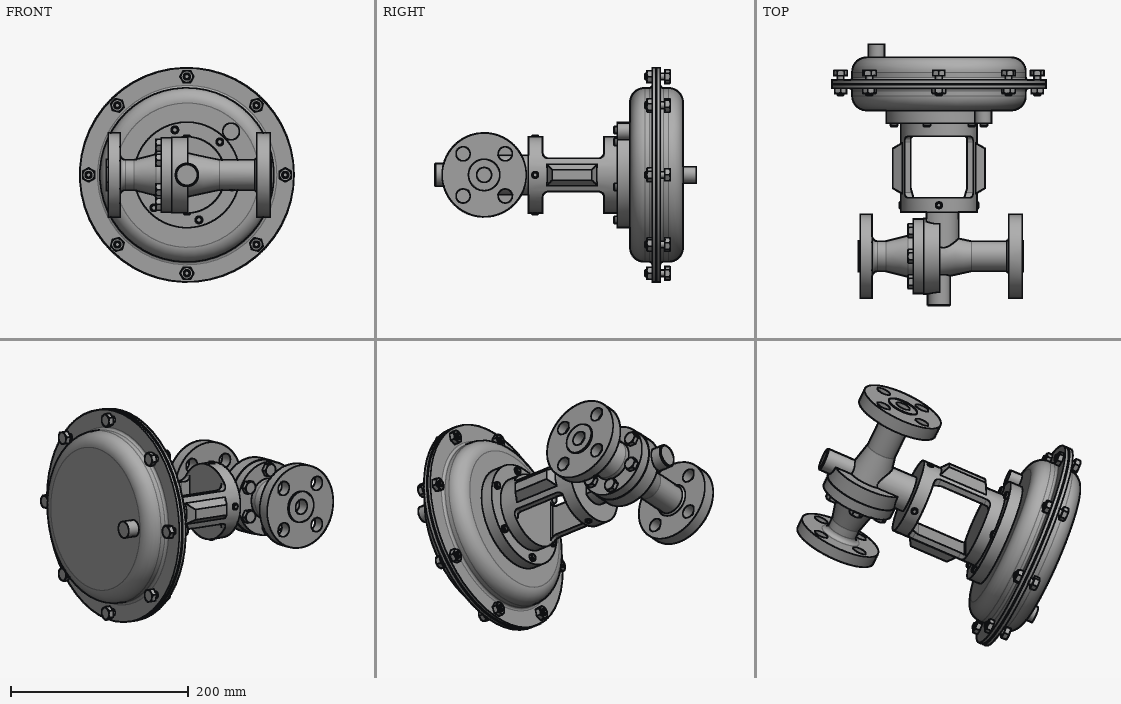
import cadquery as cq
import math


casing_top = 224.0
casing_bottom = 164.0
casing_radius = 98.0
casing_round = 16.8
rim_radius = 120.5
rim_top = 198.3
rim_bottom = 189.0
rim_fillet = 3.0
seam_height = 1.2
seam_depth = 0.5

casing_bolt_count = 8
casing_bolt_circle_radius = 110.5
casing_bolt_diameter = 7.7
casing_bolt_end = 180.7
casing_hex_flats = 13.5
casing_head_gap = 5.0
casing_head_height = 6.2
casing_nut_height = 6.0

vent_diameter = 18.8
vent_offset = 70.3
vent_end = 238.5
port_diameter = 18.8
port_x = 49.7
port_z = 48.8
port_end = 149.5

plate_radius = 59.5
plate_bottom = 149.5
plate_screw_count = 6
plate_screw_circle_radius = 52.5
plate_screw_diameter = 8.2
plate_screw_height = 3.5
plate_screw_start_angle = 15

yoke_radius = 43.0
upper_ring_bottom = 134.8
lower_ring_top = 66.0
lower_ring_bottom = 49.7
bar_half_width = 18.8
bar_fillet = 6.2
window_half_width = 31.5
window_foot_half_width = 28.5
window_foot_top = 76.2
window_top_chamfer = 1.5
ring_screw_count = 4
ring_screw_y = 57.5
ring_screw_diameter = 7.5
ring_screw_reach = 44.7

pad_center_y = 99.0
pad_base_x = 40.5
pad_face_x = 52.0
pad_base_length = 58.0
pad_base_width = 25.0
pad_face_length = 44.7
pad_face_width = 11.8

pipe_radius = 17.0
body_flange_radius = 42.7
cover_radius = 42.0
cover_left = -29.0
cover_right = -16.8
body_flange_right = 1.0
left_cone_start = -59.7
left_cone_end = -35.3
left_cone_end_radius = 23.2
right_cone_end = 36.2
right_cone_start_radius = 24.7
neck_radius = 22.5
neck_flat_x = -14.0
stub_radius = 13.0
stub_bottom = -55.5
stub_chamfer = 1.2

body_bolt_count = 6
body_bolt_circle_radius = 33.3
body_hex_flats = 13.5
body_head_height = 6.0

end_flange_radius = 47.5
left_flange_outer = -88.5
left_flange_inner = -75.0
right_flange_inner = 78.5
right_flange_outer = 94.0
raised_face_radius = 17.7
left_raised_face = 2.0
right_raised_face = 1.0
left_weld = 6.0
right_weld = 2.5
flange_hole_count = 4
flange_hole_start_angle = 45
flange_hole_circle_radius = 33.5
flange_hole_diameter = 16.0
bore_diameter = 16.8
bore_depth = 14.0

screw_chamfer = 1.2
hex_half_turn = 30
overlap = 3.0


def y_cylinder(radius, y_start, y_end, x=0, z=0):
    """Cylinder along the actuator axis."""
    return cq.Workplane("ZX", origin=(x, y_start, z)).circle(radius).extrude(y_end - y_start)


def x_cylinder(radius, x_start, x_end, y=0):
    """Cylinder along the pipe axis."""
    return cq.Workplane("YZ", origin=(x_start, y, 0)).circle(radius).extrude(x_end - x_start)


def hexagon(plane, flats, height):
    """Hexagonal prism with its corners trimmed at the far end."""
    corners = flats / math.cos(math.radians(hex_half_turn))
    crown = cq.Workplane(plane).circle(corners / 2).extrude(height)
    crown = crown.faces(cq.DirectionMinMaxSelector(crown.plane.zDir, True)).chamfer((corners - flats) / 2)
    return cq.Workplane(plane).polygon(6, corners).extrude(height).intersect(crown)


def around_y(shape, count, start_angle=0):
    """Copies of a shape spaced evenly round the actuator axis."""
    copies = cq.Workplane()
    for index in range(count):
        copies.add(shape.rotate((0, 0, 0), (0, 1, 0), start_angle + index * 360 / count))
    return copies


def around_x(shape, count, start_angle=0):
    """Copies of a shape spaced evenly round the pipe axis."""
    copies = cq.Workplane()
    for index in range(count):
        copies.add(shape.rotate((0, 0, 0), (1, 0, 0), start_angle + index * 360 / count))
    return copies


def make_casing():
    """Two domed halves clamped at the rim, with a shallow groove where they meet."""
    flat_radius = casing_radius - casing_round
    neck = casing_radius + rim_fillet
    round_mid = casing_round * math.sin(math.radians(45))
    fillet_mid = rim_fillet * math.sin(math.radians(45))
    lower_round = casing_bottom + casing_round
    upper_round = casing_top - casing_round
    lower_fillet = rim_bottom - rim_fillet
    upper_fillet = rim_top + rim_fillet
    seam_middle = (rim_top + rim_bottom) / 2
    profile = (
        cq.Workplane("XY")
        .moveTo(0, casing_bottom)
        .lineTo(flat_radius, casing_bottom)
        .threePointArc((flat_radius + round_mid, lower_round - round_mid), (casing_radius, lower_round))
        .lineTo(casing_radius, lower_fillet)
        .threePointArc((neck - fillet_mid, lower_fillet + fillet_mid), (neck, rim_bottom))
        .lineTo(rim_radius, rim_bottom)
        .lineTo(rim_radius, seam_middle - seam_height / 2)
        .lineTo(rim_radius - seam_depth, seam_middle - seam_height / 2)
        .lineTo(rim_radius - seam_depth, seam_middle + seam_height / 2)
        .lineTo(rim_radius, seam_middle + seam_height / 2)
        .lineTo(rim_radius, rim_top)
        .lineTo(neck, rim_top)
        .threePointArc((neck - fillet_mid, upper_fillet - fillet_mid), (casing_radius, upper_fillet))
        .lineTo(casing_radius, upper_round)
        .threePointArc((flat_radius + round_mid, upper_round + round_mid), (flat_radius, casing_top))
        .lineTo(0, casing_top)
        .close()
    )
    return profile.revolve(360, (0, 0), (0, 1))


def make_casing_bolts():
    """Bolts through the rim, with raised heads above and nuts below."""
    head_bottom = rim_top + casing_head_gap
    head = hexagon("ZX", casing_hex_flats, casing_head_height)
    head = head.rotate((0, 0, 0), (0, 1, 0), hex_half_turn).translate((0, head_bottom, 0))
    nut = hexagon("XZ", casing_hex_flats, casing_nut_height)
    nut = nut.rotate((0, 0, 0), (0, 1, 0), hex_half_turn).translate((0, rim_bottom, 0))
    shank = y_cylinder(casing_bolt_diameter / 2, casing_bolt_end, head_bottom + overlap)
    shank = shank.faces("<Y").chamfer(screw_chamfer)
    bolt = shank.union(head).union(nut).translate((casing_bolt_circle_radius, 0, 0))
    return around_y(bolt, casing_bolt_count)


def make_air_connections():
    vent = y_cylinder(vent_diameter / 2, casing_top - overlap, vent_end, x=-vent_offset)
    port = y_cylinder(port_diameter / 2, port_end, casing_bottom + overlap, x=port_x, z=port_z)
    return vent.union(port)


def make_mounting_plate():
    plate = y_cylinder(plate_radius, plate_bottom, casing_bottom + overlap)
    screw = y_cylinder(plate_screw_diameter / 2, plate_bottom - plate_screw_height, plate_bottom + overlap,
                       x=plate_screw_circle_radius)
    screw = screw.faces("<Y").chamfer(screw_chamfer)
    return plate.union(around_y(screw, plate_screw_count, plate_screw_start_angle))


def make_yoke():
    """Round column cut down to two rings joined by two side bars."""
    column = y_cylinder(yoke_radius, lower_ring_bottom, plate_bottom + overlap)
    opening_height = upper_ring_bottom - lower_ring_top
    opening_middle = (upper_ring_bottom + lower_ring_top) / 2
    side_depth = 2 * yoke_radius
    for side in (-1, 1):
        relief = cq.Workplane("XY").box(3 * yoke_radius, opening_height, side_depth)
        inner_face = "<Z" if side > 0 else ">Z"
        relief = relief.faces(inner_face).edges("|X").fillet(bar_fillet)
        column = column.cut(relief.translate((0, opening_middle, side * (bar_half_width + side_depth / 2))))
    window = (
        cq.Workplane("XY")
        .moveTo(-window_foot_half_width, lower_ring_top)
        .lineTo(window_foot_half_width, lower_ring_top)
        .lineTo(window_half_width, window_foot_top)
        .lineTo(window_half_width, upper_ring_bottom - window_top_chamfer)
        .lineTo(window_half_width - window_top_chamfer, upper_ring_bottom)
        .lineTo(window_top_chamfer - window_half_width, upper_ring_bottom)
        .lineTo(-window_half_width, upper_ring_bottom - window_top_chamfer)
        .lineTo(-window_half_width, window_foot_top)
        .close()
        .extrude(yoke_radius, both=True)
    )
    return column.cut(window)


def make_yoke_pads():
    """Tapered pads, rooted in the outer faces of the bars."""
    pads = cq.Workplane()
    for turn in (0, 180):
        pad = (
            cq.Workplane("YZ", origin=(pad_base_x, pad_center_y, 0))
            .rect(pad_base_length, pad_base_width)
            .workplane(offset=pad_face_x - pad_base_x)
            .rect(pad_face_length, pad_face_width)
            .loft(ruled=True)
        )
        root = cq.Workplane("XY").box(2 * overlap, pad_base_length, pad_base_width)
        pad = pad.union(root.translate((pad_base_x - overlap, pad_center_y, 0)))
        pads.add(pad.rotate((0, 0, 0), (0, 1, 0), turn))
    return pads


def make_ring_screws():
    screw = x_cylinder(ring_screw_diameter / 2, yoke_radius - overlap, ring_screw_reach, y=ring_screw_y)
    return around_y(screw.faces(">X").chamfer(screw_chamfer), ring_screw_count)


def make_pipe():
    """Outer shape of the pipe run, cones, body flange and end flanges."""
    weld_mid = left_weld * (1 - math.sin(math.radians(45)))
    weld_end = left_flange_inner + left_weld
    profile = (
        cq.Workplane("XY")
        .moveTo(left_flange_outer - left_raised_face, 0)
        .lineTo(left_flange_outer - left_raised_face, raised_face_radius)
        .lineTo(left_flange_outer, raised_face_radius)
        .lineTo(left_flange_outer, end_flange_radius)
        .lineTo(left_flange_inner, end_flange_radius)
        .lineTo(left_flange_inner, pipe_radius + left_weld)
        .threePointArc((left_flange_inner + weld_mid, pipe_radius + weld_mid), (weld_end, pipe_radius))
        .lineTo(left_cone_start, pipe_radius)
        .lineTo(left_cone_end, left_cone_end_radius)
        .lineTo(cover_left, left_cone_end_radius)
        .lineTo(cover_left, cover_radius)
        .lineTo(cover_right, cover_radius)
        .lineTo(cover_right, body_flange_radius)
        .lineTo(body_flange_right, body_flange_radius)
        .lineTo(body_flange_right, right_cone_start_radius)
        .lineTo(right_cone_end, pipe_radius)
        .lineTo(right_flange_inner - right_weld, pipe_radius)
        .lineTo(right_flange_inner, pipe_radius + right_weld)
        .lineTo(right_flange_inner, end_flange_radius)
        .lineTo(right_flange_outer, end_flange_radius)
        .lineTo(right_flange_outer, raised_face_radius)
        .lineTo(right_flange_outer + right_raised_face, raised_face_radius)
        .lineTo(right_flange_outer + right_raised_face, 0)
        .close()
    )
    return profile.revolve(360, (0, 0), (1, 0))


def make_neck_and_stub():
    """Neck up to the yoke, flattened beside the cover, and the stub below the body."""
    neck = y_cylinder(neck_radius, 0, lower_ring_bottom + overlap)
    keep = cq.Workplane("XY").box(2 * neck_radius, 4 * neck_radius, 2 * neck_radius)
    neck = neck.intersect(keep.translate((neck_flat_x + neck_radius, 2 * neck_radius, 0)))
    stub = y_cylinder(stub_radius, stub_bottom, 0).faces("<Y").chamfer(stub_chamfer)
    return neck.union(stub)


def make_body_bolts():
    """Bolt heads on the cover, all turned the same way."""
    head = hexagon("YZ", body_hex_flats, body_head_height)
    head = head.rotate((0, 0, 0), (0, 1, 0), 180).translate((cover_left, 0, body_bolt_circle_radius))
    bolts = cq.Workplane()
    for index in range(body_bolt_count):
        angle = math.radians(index * 360 / body_bolt_count)
        across = body_bolt_circle_radius * math.sin(angle)
        rise = body_bolt_circle_radius * (math.cos(angle) - 1)
        bolts.add(head.translate((0, across, rise)))
    return bolts


def make_flange_holes():
    """Through holes for the flange bolts and a blind bore in each pipe end."""
    left_face = left_flange_outer - left_raised_face
    right_face = right_flange_outer + right_raised_face
    hole_radius = flange_hole_diameter / 2
    left_hole = x_cylinder(hole_radius, left_flange_outer, left_flange_inner, y=flange_hole_circle_radius)
    right_hole = x_cylinder(hole_radius, right_flange_inner, right_flange_outer, y=flange_hole_circle_radius)
    hole = left_hole.union(right_hole)
    holes = around_x(hole, flange_hole_count, flange_hole_start_angle)
    holes.add(x_cylinder(bore_diameter / 2, left_face, left_face + bore_depth))
    holes.add(x_cylinder(bore_diameter / 2, right_face - bore_depth, right_face))
    return holes


additions = (
    make_casing_bolts(),
    make_air_connections(),
    make_mounting_plate(),
    make_yoke(),
    make_yoke_pads(),
    make_ring_screws(),
    make_pipe(),
    make_neck_and_stub(),
    make_body_bolts(),
)
valve = make_casing()
for addition in additions:
    for solid in addition.solids().vals():
        valve = valve.union(cq.Workplane(solid))
for hole in make_flange_holes().solids().vals():
    valve = valve.cut(cq.Workplane(hole))
result = cq.Workplane(valve.solids().val())